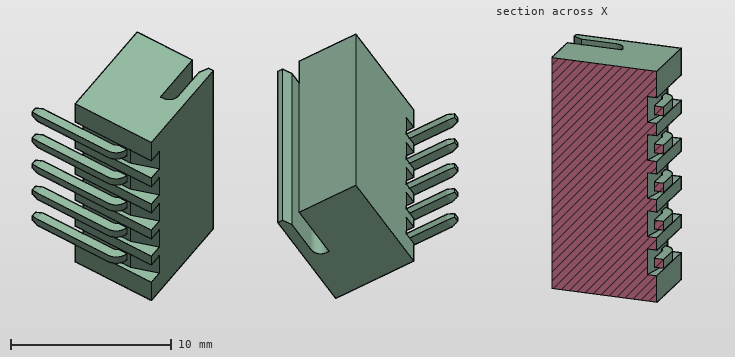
import cadquery as cq

pin_count = 5
pitch = 2.54

body_width = 5.7
body_depth = 7.0
body_height = 15.42

channel_height = 1.68
channel_edge_depth = 0.9
channel_seat_depth = 0.3
seat_start_x = 2.83
seat_end_x = 3.95

slot_start_x = 4.13
latch_thickness = 0.68
slot_depth = 3.6
slot_corner_radius = 0.7
latch_lead_width = 0.32
latch_lead_length = 0.6
slot_end_x = body_width - latch_thickness

pin_size = 0.62
pin_overhang = 3.0
pin_drop = 0.46
pin_end_x = 3.69
pin_bend_radius = 0.95
pin_embed_depth = 1.5
tip_length = 0.48
tip_size = 0.38

pin_levels = [(i - (pin_count - 1) / 2) * pitch for i in range(pin_count)]


def extrude_centred(outline, height, level=0):
    """Extrude a closed XY outline along Z, centred on the given level."""
    return outline.extrude(height / 2, both=True).translate((0, 0, level))


def make_block():
    outline = cq.Workplane("XY").rect(body_width, body_depth, centered=False)
    return extrude_centred(outline, body_height)


def make_slot():
    """Full-height slot with one rounded inner corner and a flared mouth."""
    slot_floor_y = body_depth - slot_depth
    corner_top_y = slot_floor_y + slot_corner_radius
    outline = (
        cq.Workplane("XY")
        .moveTo(slot_start_x, body_depth)
        .lineTo(slot_start_x, slot_floor_y)
        .lineTo(slot_end_x - slot_corner_radius, slot_floor_y)
        .radiusArc((slot_end_x, corner_top_y), -slot_corner_radius)
        .lineTo(slot_end_x, body_depth - latch_lead_length)
        .lineTo(slot_end_x + latch_lead_width, body_depth)
        .close()
    )
    return extrude_centred(outline, body_height)


def make_channel(level):
    """Channel with a flat pin seat whose floor slopes deeper towards both sides."""
    outline = (
        cq.Workplane("XY")
        .polyline([
            (0, 0),
            (0, channel_edge_depth),
            (seat_start_x, channel_seat_depth),
            (seat_end_x, channel_seat_depth),
            (body_width, channel_edge_depth),
            (body_width, 0),
        ])
        .close()
    )
    return extrude_centred(outline, channel_height, level)


def make_pin(level):
    """Square pin bent from the housing (+Y) towards -X, with a tapered tip."""
    lower_y = -pin_drop
    upper_y = lower_y + pin_size
    shank_start_x = tip_length - pin_overhang
    inner_x = pin_end_x - pin_size
    bend_x = pin_end_x - pin_bend_radius
    bend_y = lower_y + pin_bend_radius
    inner_radius = pin_bend_radius - pin_size
    outline = (
        cq.Workplane("XY")
        .moveTo(shank_start_x, lower_y)
        .lineTo(bend_x, lower_y)
        .radiusArc((pin_end_x, bend_y), -pin_bend_radius)
        .lineTo(pin_end_x, pin_embed_depth)
        .lineTo(inner_x, pin_embed_depth)
        .lineTo(inner_x, bend_y)
        .radiusArc((bend_x, upper_y), inner_radius)
        .lineTo(shank_start_x, upper_y)
        .close()
    )
    shank = extrude_centred(outline, pin_size, level)
    tip = (
        cq.Workplane("YZ", origin=(shank_start_x, lower_y + pin_size / 2, level))
        .rect(pin_size, pin_size)
        .workplane(offset=-tip_length)
        .rect(tip_size, tip_size)
        .loft()
    )
    return shank.union(tip)


housing = make_block().cut(make_slot())
for pin_level in pin_levels:
    housing = housing.cut(make_channel(pin_level))

result = housing
for pin_level in pin_levels:
    result = result.union(make_pin(pin_level))